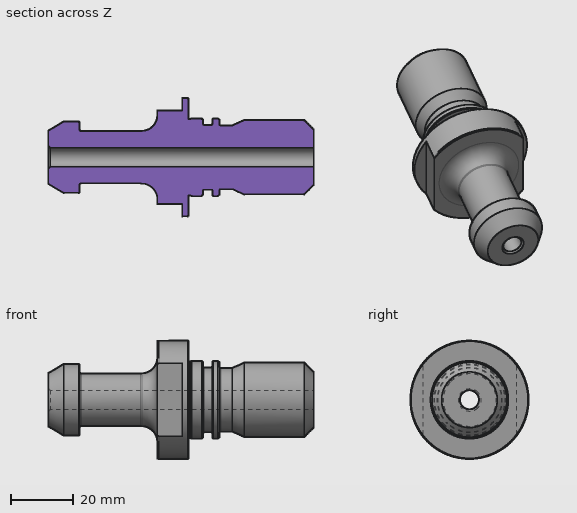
import cadquery as cq

length = 85.0
head_cone_end = 4.9
head_end = 10.0
neck_taper_start = 29.5
neck_end = 29.9
flange_start = 34.85
flat_end = 42.8
flange_end = 45.0
collar_taper_start = 45.4
collar_start = 45.9
collar_end = 49.55
ring_start = 52.5
ring_end = 54.8
cone_start = 58.9
cone_end = 62.7

bore_diameter = 6.0
tip_diameter = 17.3
head_diameter = 23.0
neck_diameter = 16.9
neck_root_diameter = 17.0
flange_diameter = 38.0
relief_diameter = 24.6
collar_diameter = 25.0
groove_diameter = 20.8
undercut_diameter = 20.5
shank_diameter = 24.0

flat_width = 30.0
flange_chamfer_length = 0.5
flange_chamfer_depth = 0.2
flange_back_chamfer = 0.25
neck_fillet = flange_start - neck_end
head_fillet = 0.5
head_chamfer = 0.25
tip_chamfer = 0.2
collar_chamfer = 0.4
ring_front_chamfer = 0.25
ring_back_chamfer = 0.5
groove_fillet = 0.4
shank_chamfer = 3.1
bore_chamfer = 0.6

tip_radius = tip_diameter / 2
head_radius = head_diameter / 2
neck_radius = neck_diameter / 2
neck_root_radius = neck_root_diameter / 2
flange_radius = flange_diameter / 2
relief_radius = relief_diameter / 2
collar_radius = collar_diameter / 2
groove_radius = groove_diameter / 2
undercut_radius = undercut_diameter / 2
shank_radius = shank_diameter / 2
bore_radius = bore_diameter / 2


def concave_corner(profile, corner_x, corner_y, radius, rising):
    """Add a quarter-round between a cylinder and a shoulder, in +X travel order."""
    side = -1 if rising else 1
    on_cylinder = (corner_x + side * radius, corner_y)
    on_shoulder = (corner_x, corner_y + radius)
    start, end = (on_cylinder, on_shoulder) if rising else (on_shoulder, on_cylinder)
    offset = radius * (1 - 0.5 ** 0.5)
    middle = (corner_x + side * offset, corner_y + offset)
    return profile.lineTo(*start).threePointArc(middle, end)


def turned_body():
    profile = cq.Workplane("XY")
    profile = profile.lineTo(0, tip_radius - tip_chamfer)
    profile = profile.lineTo(tip_chamfer, tip_radius)
    profile = profile.lineTo(head_cone_end, head_radius)
    profile = profile.lineTo(head_end - head_chamfer, head_radius)
    profile = profile.lineTo(head_end, head_radius - head_chamfer)
    profile = concave_corner(profile, head_end, neck_radius, head_fillet, rising=False)
    profile = profile.lineTo(neck_taper_start, neck_radius)
    profile = concave_corner(profile, flange_start, neck_root_radius, neck_fillet, rising=True)
    profile = profile.lineTo(flange_start, flange_radius - flange_chamfer_depth)
    profile = profile.lineTo(flange_start + flange_chamfer_length, flange_radius)
    profile = profile.lineTo(flange_end - flange_back_chamfer, flange_radius)
    profile = profile.lineTo(flange_end, flange_radius - flange_back_chamfer)
    profile = profile.lineTo(flange_end, relief_radius)
    profile = profile.lineTo(collar_taper_start, relief_radius)
    profile = profile.lineTo(collar_start, collar_radius)
    profile = profile.lineTo(collar_end - collar_chamfer, collar_radius)
    profile = profile.lineTo(collar_end, collar_radius - collar_chamfer)
    profile = concave_corner(profile, collar_end, groove_radius, groove_fillet, rising=False)
    profile = concave_corner(profile, ring_start, groove_radius, groove_fillet, rising=True)
    profile = profile.lineTo(ring_start, collar_radius - ring_front_chamfer)
    profile = profile.lineTo(ring_start + ring_front_chamfer, collar_radius)
    profile = profile.lineTo(ring_end - ring_back_chamfer, collar_radius)
    profile = profile.lineTo(ring_end, collar_radius - ring_back_chamfer)
    profile = concave_corner(profile, ring_end, undercut_radius, groove_fillet, rising=False)
    profile = profile.lineTo(cone_start, undercut_radius)
    profile = profile.lineTo(cone_end, shank_radius)
    profile = profile.lineTo(length - shank_chamfer, shank_radius)
    profile = profile.lineTo(length, shank_radius - shank_chamfer)
    profile = profile.lineTo(length, 0).close()
    return profile.revolve(360, (0, 0, 0), (1, 0, 0))


def wrench_flat(side):
    """Material removed from the flange on the given Y side, leaving its rear rim."""
    depth = (flange_diameter - flat_width) / 2
    center_x = (flange_start + flat_end) / 2
    center_y = side * (flat_width + depth) / 2
    block = cq.Workplane("XY").box(flat_end - flange_start, depth, flange_diameter)
    return block.translate((center_x, center_y, 0))


def bore():
    """Through hole, countersunk at the nose."""
    hole = cq.Workplane("YZ").circle(bore_radius).extrude(length)
    countersink = (
        cq.Workplane("XY")
        .lineTo(0, bore_radius + bore_chamfer)
        .lineTo(bore_chamfer, bore_radius)
        .lineTo(bore_chamfer, 0)
        .close()
        .revolve(360, (0, 0, 0), (1, 0, 0))
    )
    return hole.union(countersink)


result = turned_body()
for flat_side in (-1, 1):
    result = result.cut(wrench_flat(flat_side))
result = result.cut(bore())